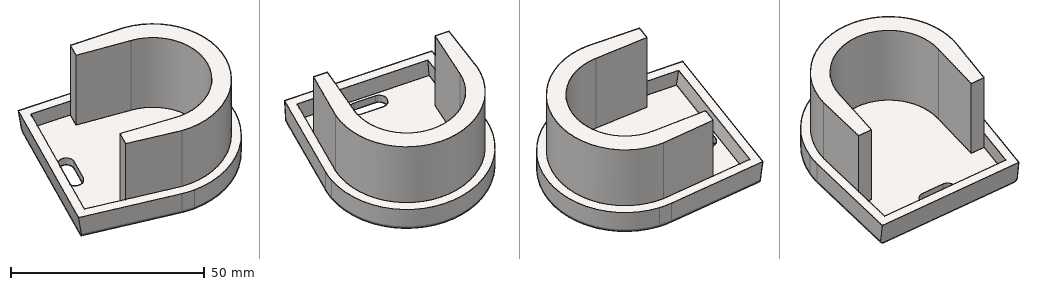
import cadquery as cq
import math

tray_height = 7.62
floor_thickness = 2.54
overall_height = 27.94
rim_width = 2.54
collar_outer_radius = 20.32
collar_inner_radius = 15.24
collar_front_y = -15.24
collar_mouth_half_width = 15.42
side_taper = math.radians(3.45)
overall_length = 51.9
front_draft = math.radians(7.1)
bottom_fillet = 1.27
shoulder_blend_radius = 20.32
shoulder_angle = math.radians(6.5)

slot_length = 10.6
slot_width = 4.45
slot_y = -22.86

tray_radius = collar_outer_radius + rim_width
front_top_y = tray_radius - overall_length
draft_slope = math.tan(front_draft)
front_wall_run = rim_width / math.cos(front_draft)


def tapered_front_x(start_x, start_y, front_y):
    """Half width at front_y of a side that starts at (start_x, start_y) and converges forward."""
    return start_x - (start_y - front_y) * math.tan(side_taper)


def point_on_arc(center, radius, angle):
    """Point at the given angle (radians from +X) on a circle around center."""
    return (center[0] + radius * math.cos(angle), center[1] + radius * math.sin(angle))


def mirrored(point):
    """Mirror image of a point across the part's centre plane."""
    return (-point[0], point[1])


def tray_outline():
    """Round back, a tangent blend arc at each shoulder, converging sides and a straight front."""
    blend_center = point_on_arc((0, 0), tray_radius - shoulder_blend_radius, shoulder_angle)
    back_end = point_on_arc((0, 0), tray_radius, shoulder_angle)
    blend_middle = point_on_arc(blend_center, shoulder_blend_radius, (shoulder_angle - side_taper) / 2)
    side_start = point_on_arc(blend_center, shoulder_blend_radius, -side_taper)
    front_corner = (tapered_front_x(*side_start, front_top_y), front_top_y)
    return (
        cq.Workplane("XY")
        .moveTo(*front_corner)
        .lineTo(*side_start)
        .threePointArc(blend_middle, back_end)
        .threePointArc((0, tray_radius), mirrored(back_end))
        .threePointArc(mirrored(blend_middle), mirrored(side_start))
        .lineTo(*mirrored(front_corner))
        .close()
    )


def round_back_outline(radius, front_half_width, front_y):
    """Semicircular back with straight sides running to a straight front."""
    return (
        cq.Workplane("XY")
        .moveTo(front_half_width, front_y)
        .lineTo(radius, 0)
        .threePointArc((0, radius), (-radius, 0))
        .lineTo(-front_half_width, front_y)
        .close()
    )


def collar_outline(front_y):
    """Outer outline of the collar, cut off at front_y; the pocket shares its sides."""
    front_half_width = tapered_front_x(collar_outer_radius, 0, front_y)
    return round_back_outline(collar_outer_radius, front_half_width, front_y)


def behind_drafted_plane(top_y):
    """Block behind a leaning plane that crosses the tray's top level at top_y."""
    bottom_y = top_y + tray_height * draft_slope
    return (
        cq.Workplane("YZ")
        .moveTo(bottom_y, 0)
        .lineTo(top_y, tray_height)
        .lineTo(tray_radius, tray_height)
        .lineTo(tray_radius, 0)
        .close()
        .extrude(tray_radius, both=True)
    )


def make_tray_body():
    """Solid tray with rounded lower side and back edges and a sharp, leaning front."""
    blank = tray_outline().extrude(tray_height)
    lower_edges = blank.edges("<Z").edges("not(<Y)")
    return lower_edges.fillet(bottom_fillet).intersect(behind_drafted_plane(front_top_y))


def make_pocket():
    """Recess above the floor whose front wall leans parallel to the outer front."""
    pocket_front_y = front_top_y + front_wall_run
    outline = collar_outline(pocket_front_y)
    recess = outline.extrude(tray_height).intersect(behind_drafted_plane(pocket_front_y))
    above_floor = (
        cq.Workplane("XY")
        .workplane(offset=floor_thickness)
        .rect(2 * overall_length, 2 * overall_length)
        .extrude(tray_height)
    )
    return recess.intersect(above_floor)


def make_collar():
    """Tall U-shaped wall standing on the floor against the pocket sides."""
    wall_height = overall_height - floor_thickness
    outer = collar_outline(collar_front_y)
    bore = round_back_outline(collar_inner_radius, collar_mouth_half_width, collar_front_y)
    wall = outer.extrude(wall_height).cut(bore.extrude(wall_height))
    return wall.translate((0, 0, floor_thickness))


def make_slot():
    """Through slot in the floor between the collar mouth and the front wall."""
    return cq.Workplane("XY").center(0, slot_y).slot2D(slot_length, slot_width).extrude(tray_height)


result = make_tray_body().cut(make_pocket()).union(make_collar()).cut(make_slot())